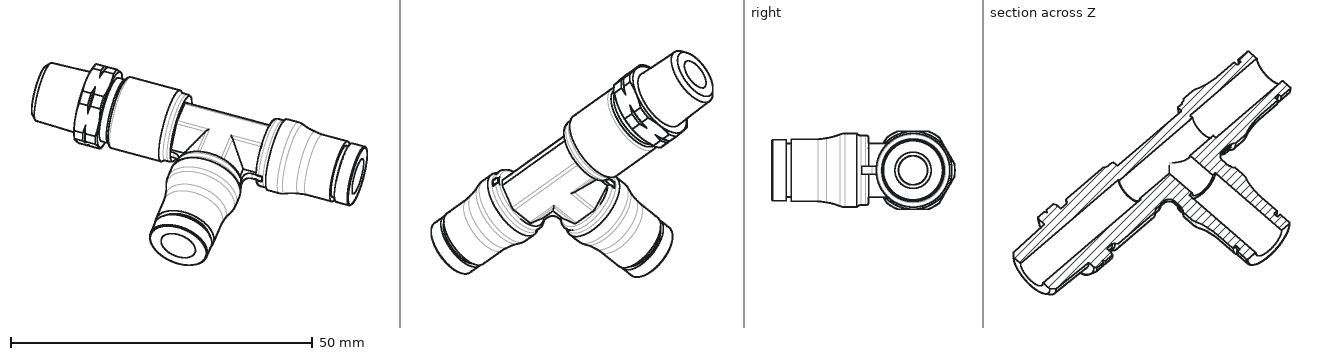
import cadquery as cq
import math

total_length = 55.75
arm_reach = 23.4
run_arm_x = total_length - arm_reach
branch_x = 32.25

flow_radius = 2.4
stem_bore_radius = 2.6
tube_radius = 3.0
tube_depth = 15.6

tip_radius = 4.3
tip_chamfer = 0.7
thread_taper = 1 / 32
hex_start = 8.15
hex_end = 12.25
hex_flats = 13.0
hex_corner_radius = 6.95
hex_chamfer_length = 0.2
hex_chamfer_depth = 0.5
hex_groove_x = 10.1
hex_groove_width = 0.5
hex_groove_depth = 0.4

neck_radius = 5.45
neck_end = 13.5
neck_flare = 0.2
sleeve_start = 13.9
sleeve_round = 0.4
sleeve_end = 22.9
bulge_radius = 6.15
collar_radius = 5.8
collar_blend = 0.6
sleeve_collar_round_start = 24.2
sleeve_collar_end = 24.75
sleeve_collar_end_radius = 5.65

arm_start = 7.35
arm_start_radius = 5.4
arm_collar_start = 7.9
arm_bulge_start = 9.3
arm_bulge_end = 11.3
taper_start = 12.15
taper_start_radius = 5.95
taper_end = 14.45
taper_end_radius = 5.35
barrel_start = 15.8
barrel_radius = 5.2
groove_start = 20.25
groove_width = 0.8
groove_radius = 4.45
ring_radius = 5.1
ring_chamfer = 0.15

body_half_height = 4.5
body_shoulder = 2.2
body_edge_round = 0.6
inner_foot = 5.2
back_foot = 4.7
web_half_thickness = 0.65
web_reach = 5.65
web_corner_radius = 1.2
web_notch_depth = 1.15


def turned(profile):
    """Solid of revolution about the X axis from an outline drawn in X and radius."""
    return profile.close().revolve(360, (0, 0, 0), (1, 0, 0))


def rod(start, end, radius):
    """Cylinder on the X axis."""
    return cq.Workplane("YZ", origin=(start, 0, 0)).circle(radius).extrude(end - start)


def as_branch(arm):
    """Move an arm from its own +X axis to the branch position."""
    return arm.rotate((0, 0, 0), (0, 0, 1), -90).translate((branch_x, 0, 0))


def as_run(arm):
    """Move an arm from its own +X axis to the end of the run."""
    return arm.translate((run_arm_x, 0, 0))


def round_point(start_x, start_radius, end_x, end_radius):
    """Middle of the convex round, close to a quarter circle, that rises from start to end."""
    blend = math.sqrt(0.5)
    return (
        end_x + (start_x - end_x) * blend,
        start_radius + (end_radius - start_radius) * blend,
    )


def hollow_point(collar_x, bulge_x):
    """Middle of the hollow arc that leaves the collar tangentially and rises to the bulge."""
    rise = bulge_radius - collar_radius
    arc_radius = (collar_blend**2 + rise**2) / (2 * rise)
    half_angle = math.asin(collar_blend / arc_radius) / 2
    share = arc_radius * math.sin(half_angle) / collar_blend
    return (
        collar_x + (bulge_x - collar_x) * share,
        collar_radius + arc_radius * (1 - math.cos(half_angle)),
    )


def make_stem():
    """Tapered thread stem, neck, sleeve and sleeve collar."""
    thread_radius = tip_radius + tip_chamfer
    thread_end_radius = thread_radius + (hex_start - tip_chamfer) * thread_taper
    flare_radius = neck_radius + neck_flare
    profile = (
        cq.Workplane("XY")
        .moveTo(0, 0)
        .lineTo(0, tip_radius)
        .lineTo(tip_chamfer, thread_radius)
        .lineTo(hex_start, thread_end_radius)
        .lineTo(hex_start, neck_radius)
        .lineTo(neck_end, neck_radius)
        .lineTo(sleeve_start, flare_radius)
        .threePointArc(
            round_point(sleeve_start, flare_radius, sleeve_start + sleeve_round, bulge_radius),
            (sleeve_start + sleeve_round, bulge_radius),
        )
        .lineTo(sleeve_end, bulge_radius)
        .threePointArc(
            hollow_point(sleeve_end + collar_blend, sleeve_end),
            (sleeve_end + collar_blend, collar_radius),
        )
        .lineTo(sleeve_collar_round_start, collar_radius)
        .tangentArcPoint((sleeve_collar_end, sleeve_collar_end_radius), relative=False)
        .lineTo(sleeve_collar_end, 0)
    )
    return turned(profile)


def make_hexagon():
    """Hexagon with turned corners, chamfered ends and a V groove across the corners."""
    across_corners = hex_flats / math.cos(math.pi / 6)
    prism = (
        cq.Workplane("YZ", origin=(hex_start, 0, 0))
        .polygon(6, across_corners)
        .extrude(hex_end - hex_start)
    )
    chamfer_radius = hex_corner_radius - hex_chamfer_depth
    envelope = (
        cq.Workplane("XY")
        .moveTo(hex_start, 0)
        .lineTo(hex_start, chamfer_radius)
        .lineTo(hex_start + hex_chamfer_length, hex_corner_radius)
        .lineTo(hex_groove_x - hex_groove_width / 2, hex_corner_radius)
        .lineTo(hex_groove_x, hex_corner_radius - hex_groove_depth)
        .lineTo(hex_groove_x + hex_groove_width / 2, hex_corner_radius)
        .lineTo(hex_end - hex_chamfer_length, hex_corner_radius)
        .lineTo(hex_end, chamfer_radius)
        .lineTo(hex_end, 0)
    )
    return prism.intersect(turned(envelope))


def make_arm():
    """Push-in tube arm along +X with its release ring, without the bore."""
    ring_start = groove_start + groove_width
    profile = (
        cq.Workplane("XY")
        .moveTo(arm_start, 0)
        .lineTo(arm_start, arm_start_radius)
        .threePointArc(
            round_point(arm_start, arm_start_radius, arm_collar_start, collar_radius),
            (arm_collar_start, collar_radius),
        )
        .lineTo(arm_bulge_start - collar_blend, collar_radius)
        .tangentArcPoint((arm_bulge_start, bulge_radius), relative=False)
        .lineTo(arm_bulge_end, bulge_radius)
        .tangentArcPoint((taper_start, taper_start_radius), relative=False)
        .tangentArcPoint((taper_end, taper_end_radius), relative=False)
        .lineTo(barrel_start, barrel_radius)
        .lineTo(groove_start, barrel_radius)
        .lineTo(groove_start, groove_radius)
        .lineTo(ring_start, groove_radius)
        .lineTo(ring_start, ring_radius)
        .lineTo(arm_reach - ring_chamfer, ring_radius)
        .lineTo(arm_reach, ring_radius - ring_chamfer)
        .lineTo(arm_reach, 0)
    )
    notch_height = bulge_radius - web_reach
    notch_center = (bulge_radius + web_reach) / 2
    notch = cq.Workplane("XY").box(
        web_notch_depth, notch_height, 2 * web_half_thickness, centered=(False, True, True)
    )
    arm = turned(profile)
    for side in (1, -1):
        arm = arm.cut(notch.translate((arm_start, side * notch_center, 0)))
    return arm


def body_bar(start, end, back_half_width, front_half_width):
    """Sloped bar along +X; its half widths at the web are given for the +Y and -Y sides."""
    bar = (
        cq.Workplane("YZ", origin=(start, 0, 0))
        .moveTo(back_half_width, web_half_thickness)
        .lineTo(body_shoulder, body_half_height)
        .lineTo(-body_shoulder, body_half_height)
        .lineTo(-front_half_width, web_half_thickness)
        .lineTo(-front_half_width, -web_half_thickness)
        .lineTo(-body_shoulder, -body_half_height)
        .lineTo(body_shoulder, -body_half_height)
        .lineTo(back_half_width, -web_half_thickness)
        .close()
        .extrude(end - start)
    )
    return bar.edges("|X").edges(">Z or <Z").fillet(body_edge_round)


def make_web():
    """Flat web in the two inner corners of the tee, with rounded corners."""
    run_start = sleeve_collar_end - branch_x
    branch_end = arm_start + web_notch_depth
    run_end = run_arm_x - branch_x + branch_end
    corner = web_reach + web_corner_radius
    mid_arc = web_corner_radius * math.sqrt(0.5)
    return (
        cq.Workplane("XY", origin=(branch_x, 0, -web_half_thickness))
        .moveTo(run_start, 0)
        .lineTo(run_start, -web_reach)
        .lineTo(-corner, -web_reach)
        .threePointArc((-corner + mid_arc, -corner + mid_arc), (-web_reach, -corner))
        .lineTo(-web_reach, -branch_end)
        .lineTo(web_reach, -branch_end)
        .lineTo(web_reach, -corner)
        .threePointArc((corner - mid_arc, -corner + mid_arc), (corner, -web_reach))
        .lineTo(run_end, -web_reach)
        .lineTo(run_end, 0)
        .close()
        .extrude(2 * web_half_thickness)
    )


def make_body():
    """Tee body: run bar, branch bar and the web between them."""
    run_bar = body_bar(sleeve_collar_end, run_arm_x + arm_start, back_foot, inner_foot)
    branch_bar = as_branch(body_bar(0, arm_start, inner_foot, inner_foot))
    return run_bar.union(branch_bar).union(make_web())


def make_bores():
    """Flow passages, the wider stem bore and the two tube sockets."""
    flow = rod(0, arm_reach, flow_radius)
    socket = rod(arm_reach - tube_depth, arm_reach, tube_radius)
    arm_bore = flow.union(socket)
    stem_bore = rod(0, sleeve_end, stem_bore_radius)
    run_bore = rod(0, total_length, flow_radius).union(stem_bore)
    return run_bore.union(as_run(arm_bore)).union(as_branch(arm_bore))


arm = make_arm()
outside = make_stem().union(make_hexagon()).union(make_body())
outside = outside.union(as_run(arm)).union(as_branch(arm))
result = outside.cut(make_bores())